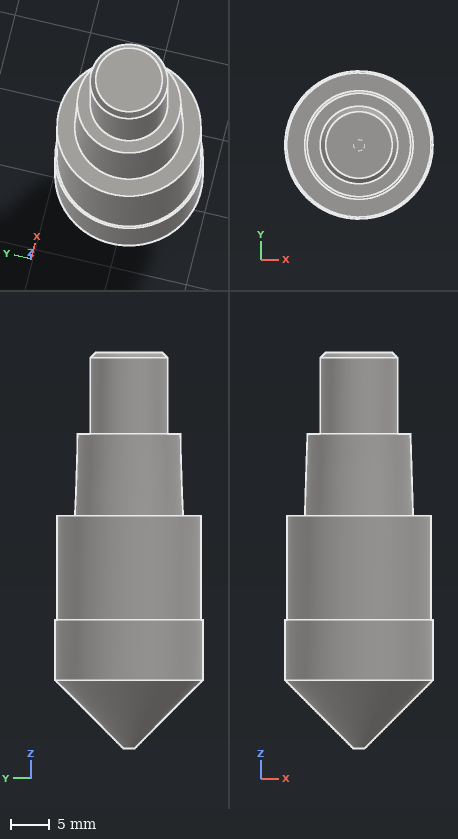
import cadquery as cq

total_length = 51.0

collar_diameter = 19.05
point_diameter = 1.45
cone_height = (collar_diameter - point_diameter) / 2
collar_height = 7.75
tip_height = cone_height + collar_height

body_diameter = 18.55
seat_base_diameter = 13.95
seat_top_diameter = 13.3
seat_height = 10.5
stud_diameter = 10.0
stud_length = 10.5
stud_chamfer = 0.7

seat_top_z = total_length - stud_length
seat_base_z = seat_top_z - seat_height


def revolve_profile(profile):
    """Revolve (radius, z) points around the Z axis into a solid."""
    return cq.Workplane("XZ").polyline(profile).close().revolve(360, (0, 0), (0, 1))


def make_tip():
    """Conical tip with its collar and a small flat point."""
    return revolve_profile([
        (0, 0),
        (point_diameter / 2, 0),
        (collar_diameter / 2, cone_height),
        (collar_diameter / 2, tip_height),
        (0, tip_height),
    ])


def make_shank():
    """Stepped shank that stands on the flat top of the tip."""
    stud_radius = stud_diameter / 2
    return revolve_profile([
        (0, tip_height),
        (body_diameter / 2, tip_height),
        (body_diameter / 2, seat_base_z),
        (seat_base_diameter / 2, seat_base_z),
        (seat_top_diameter / 2, seat_top_z),
        (stud_radius, seat_top_z),
        (stud_radius, total_length - stud_chamfer),
        (stud_radius - stud_chamfer, total_length),
        (0, total_length),
    ])


tip = make_tip()
shank = make_shank()
result = cq.Compound.makeCompound([tip.val(), shank.val()])